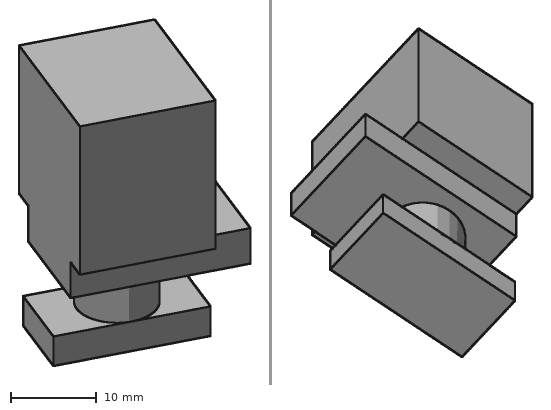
import cadquery as cq

foot_height = 4.0
neck_height = 6.0
plate_height = 4.8
total_height = 34.8
block_height = total_height - foot_height - neck_height - plate_height

block_width = 20.0
plate_width = 14.0
neck_diameter = 10.0
foot_width = neck_diameter

block_depth = 16.9
plate_depth = 22.4
foot_depth = 19.6
foot_projection = 1.4
front_face_y = foot_projection - foot_depth / 2

neck_base = foot_height
plate_base = neck_base + neck_height
block_base = plate_base + plate_height


def box_from_front(width, depth, height, front_y, base_z):
    """Box centred in X, running back from front_y and up from base_z."""
    return cq.Workplane("XY").box(width, depth, height, centered=(True, False, False)).translate(
        (0, front_y, base_z)
    )


foot = box_from_front(foot_width, foot_depth, foot_height, -foot_depth / 2, 0)
neck = cq.Workplane("XY").workplane(offset=neck_base).circle(neck_diameter / 2).extrude(neck_height)
plate = box_from_front(plate_width, plate_depth, plate_height, front_face_y, plate_base)
block = box_from_front(block_width, block_depth, block_height, front_face_y, block_base)

result = foot.union(neck).union(plate).union(block)